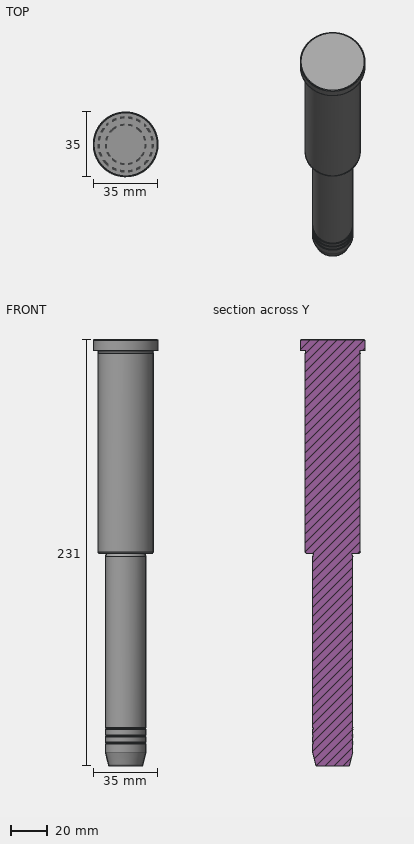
import cadquery as cq

total_length = 231.0
head_diameter = 35.0
body_diameter = 30.0
pin_diameter = 22.0

head_thickness = 6.0
pin_length = 115.0
head_bottom = total_length - head_thickness

head_chamfer = 0.5
body_chamfer_width = 0.7
body_chamfer_height = 1.0

relief_width = 1.5
relief_depth = 0.2

neck_height = 1.5
neck_depth = 0.5

taper_height = 7.5
tip_diameter = 18.2
tip_fillet = 0.7

groove_count = 3
groove_spacing = 4.0
lowest_groove = 12.5
groove_width = 1.2
groove_depth = 0.35


def cylinder(diameter, bottom, top):
    """Solid cylinder on the Z axis between two heights."""
    return cq.Workplane("XY").workplane(offset=bottom).circle(diameter / 2).extrude(top - bottom)


def groove_cutter(diameter, depth, center, width):
    """Ring that cuts a shallow V-shaped groove into a cylinder."""
    radius = diameter / 2
    half_width = width / 2
    profile = (
        cq.Workplane("XZ")
        .moveTo(radius, center - half_width)
        .lineTo(radius - depth, center)
        .lineTo(radius, center + half_width)
        .lineTo(radius + depth, center + half_width)
        .lineTo(radius + depth, center - half_width)
        .close()
    )
    return profile.revolve(360, (0, 0, 0), (0, 1, 0))


def make_head():
    head = cylinder(head_diameter, head_bottom, total_length)
    return head.faces(">Z").edges().chamfer(head_chamfer)


def make_body():
    body = cylinder(body_diameter, pin_length, head_bottom)
    body = body.faces("<Z").chamfer(body_chamfer_height, body_chamfer_width)
    relief_center = head_bottom - relief_width / 2
    return body.cut(groove_cutter(body_diameter, relief_depth, relief_center, relief_width))


def make_pin():
    radius = pin_diameter / 2
    profile = (
        cq.Workplane("XZ")
        .lineTo(tip_diameter / 2, 0)
        .lineTo(radius, taper_height)
        .lineTo(radius, pin_length - neck_height)
        .lineTo(radius - neck_depth, pin_length)
        .lineTo(0, pin_length)
        .close()
    )
    pin = profile.revolve(360, (0, 0, 0), (0, 1, 0))
    pin = pin.faces("<Z").edges().fillet(tip_fillet)
    for index in range(groove_count):
        groove_center = lowest_groove + index * groove_spacing
        pin = pin.cut(groove_cutter(pin_diameter, groove_depth, groove_center, groove_width))
    return pin


result = make_head().union(make_body()).union(make_pin())